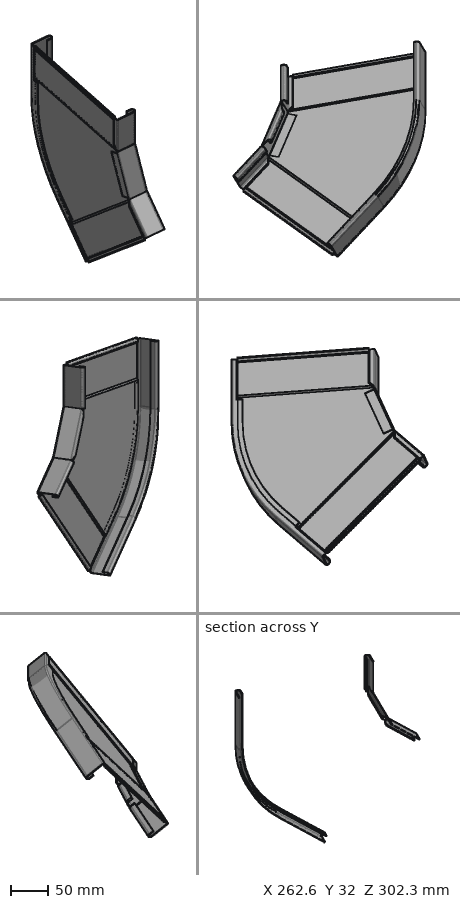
import cadquery as cq
import math


SHEET = 1.5
HEIGHT = 32.0
CHANNEL_WIDTH = 195.8
LIMB_LENGTH = 92.8
BEND_ANGLE = 45
BEND_RADIUS = 200.0
INNER_MIDDLE_LENGTH = 70.5

FLOOR_BEND_RADIUS = 1.8
RIM_RADIUS = 3.5
HOOK_WIDTH = 8.2
HOOK_DEPTH = 10.3
NARROW_FLANGE = 7.3
WIDE_FLANGE = 15.5
WIDE_FLANGE_START = 59.5

LIMB_FLANGE_CUT = 8.0
MIDDLE_FLANGE_INSET = 2.0
HOOK_CUT = 12.7

FLOOR_SIDE_GAP = 1.2
INNER_FLOOR_CLEARANCE = 0.5
JOGGLE_LENGTH = 2.7
TIP_OVERHANG = 2.5
TIP_LIP_RADIUS = 2.7
TIP_LIP_START = 20
TIP_SLOPE_ANGLE = 45
TIP_SLOPE_DEPTH = 1.5

half_angle = math.radians(BEND_ANGLE / 2)
full_angle = math.radians(BEND_ANGLE)
center_x = BEND_RADIUS
center_z = (LIMB_LENGTH + BEND_RADIUS) * math.sin(full_angle)
limb_end_z = center_z + LIMB_LENGTH
tip_z = limb_end_z + TIP_OVERHANG
inner_corner_rise = INNER_MIDDLE_LENGTH / 2 + (CHANNEL_WIDTH - center_x) * math.sin(half_angle)
inner_corner_z = center_z + inner_corner_rise / math.cos(half_angle)
inner_limb_length = limb_end_z - inner_corner_z
floor_edge = NARROW_FLANGE + FLOOR_SIDE_GAP

bend_center = cq.Vector(center_x, 0, center_z)
mirror_normal = cq.Vector(-math.sin(half_angle), 0, math.cos(half_angle))


def mirrored(shape):
    """The same shape on the other limb."""
    return shape.mirror(mirror_normal, bend_center)


def mirrored_point(x, z):
    """The matching point of the other limb."""
    distance = (x - center_x) * mirror_normal.x + (z - center_z) * mirror_normal.z
    return x - 2 * distance * mirror_normal.x, z - 2 * distance * mirror_normal.z


def slab(outline, y_start, thickness):
    """Extrude a closed outline drawn on the XZ plane from y_start towards +Y."""
    return outline.extrude(-thickness).translate((0, y_start, 0))


def arc_point(center, radius, degrees):
    angle = math.radians(degrees)
    return center[0] + radius * math.cos(angle), center[1] + radius * math.sin(angle)


def wall_section(flange_width):
    """Flange, wall and hooked rim, drawn on the XY plane with u along +X."""
    rim_y = HEIGHT - RIM_RADIUS
    hook_end_y = HEIGHT - HOOK_DEPTH
    floor_center = (FLOOR_BEND_RADIUS, FLOOR_BEND_RADIUS)
    wall_rim_center = (RIM_RADIUS, rim_y)
    hook_rim_center = (HOOK_WIDTH - RIM_RADIUS, rim_y)
    inner_floor_radius = FLOOR_BEND_RADIUS - SHEET
    inner_rim_radius = RIM_RADIUS - SHEET
    return (
        cq.Workplane("XY")
        .moveTo(flange_width, 0)
        .lineTo(FLOOR_BEND_RADIUS, 0)
        .threePointArc(arc_point(floor_center, FLOOR_BEND_RADIUS, 225), (0, FLOOR_BEND_RADIUS))
        .lineTo(0, rim_y)
        .threePointArc(arc_point(wall_rim_center, RIM_RADIUS, 135), (RIM_RADIUS, HEIGHT))
        .lineTo(hook_rim_center[0], HEIGHT)
        .threePointArc(arc_point(hook_rim_center, RIM_RADIUS, 45), (HOOK_WIDTH, rim_y))
        .lineTo(HOOK_WIDTH, hook_end_y)
        .lineTo(HOOK_WIDTH - SHEET, hook_end_y)
        .lineTo(HOOK_WIDTH - SHEET, rim_y)
        .threePointArc(arc_point(hook_rim_center, inner_rim_radius, 45), (hook_rim_center[0], HEIGHT - SHEET))
        .lineTo(RIM_RADIUS, HEIGHT - SHEET)
        .threePointArc(arc_point(wall_rim_center, inner_rim_radius, 135), (SHEET, rim_y))
        .lineTo(SHEET, FLOOR_BEND_RADIUS)
        .threePointArc(arc_point(floor_center, inner_floor_radius, 225), (FLOOR_BEND_RADIUS, SHEET))
        .lineTo(flange_width, SHEET)
        .close()
    )


def outer_path(workplane, inset, start_z):
    """Line, arc and line that follow the outer wall at a distance inside its outer face."""
    radius = BEND_RADIUS - inset
    middle = arc_point((center_x, center_z), radius, 180 + BEND_ANGLE / 2)
    return (
        workplane.lineTo(inset, center_z)
        .threePointArc(middle, mirrored_point(inset, center_z))
        .lineTo(*mirrored_point(inset, start_z))
    )


def make_outer_wall():
    limb = wall_section(NARROW_FLANGE).extrude(LIMB_LENGTH).translate((0, 0, center_z))
    bend = wall_section(NARROW_FLANGE).revolve(BEND_ANGLE, (center_x, 0, 0), (center_x, -1, 0))
    bend = bend.translate((0, 0, center_z))
    wide_z = limb_end_z - WIDE_FLANGE_START
    flange_outline = outer_path(cq.Workplane("XZ").moveTo(WIDE_FLANGE, wide_z), WIDE_FLANGE, wide_z)
    back = FLOOR_BEND_RADIUS
    flange_outline = (
        flange_outline.lineTo(*mirrored_point(back, wide_z))
        .lineTo(*mirrored_point(back, center_z))
        .threePointArc(
            arc_point((center_x, center_z), BEND_RADIUS - back, 180 + BEND_ANGLE / 2), (back, center_z)
        )
        .lineTo(back, wide_z)
        .close()
    )
    return limb.union(bend).union(mirrored(limb)).union(slab(flange_outline, 0, SHEET))


def make_inner_limb():
    """One straight limb of the inner wall, with the flange cut at 45 degrees by the corner."""
    limb = wall_section(NARROW_FLANGE).extrude(inner_limb_length)
    cut_start = FLOOR_BEND_RADIUS
    cut = slab(
        cq.Workplane("XZ").polyline(
            [
                (cut_start, 0),
                (NARROW_FLANGE, 0),
                (NARROW_FLANGE, LIMB_FLANGE_CUT),
                (cut_start, LIMB_FLANGE_CUT - NARROW_FLANGE + cut_start),
            ]
        ).close(),
        0,
        SHEET,
    )
    return limb.cut(cut).mirror("YZ").translate((CHANNEL_WIDTH, 0, inner_corner_z))


def make_inner_middle_half():
    """Half of the slanted middle stretch, from the limb's corner to the mirror plane."""
    length = INNER_MIDDLE_LENGTH / 2
    middle = wall_section(WIDE_FLANGE).extrude(-length)
    flange_cut = cq.Workplane("XY").box(WIDE_FLANGE, SHEET, MIDDLE_FLANGE_INSET, centered=False).translate(
        (FLOOR_BEND_RADIUS, 0, -MIDDLE_FLANGE_INSET)
    )
    hook_cut = slab(
        cq.Workplane("XZ").polyline([(SHEET, 0), (HOOK_WIDTH, 0), (HOOK_WIDTH, -HOOK_CUT)]).close(),
        HEIGHT - HOOK_DEPTH,
        HOOK_DEPTH,
    )
    middle = middle.cut(flange_cut).cut(hook_cut).mirror("YZ")
    middle = middle.rotate((0, 0, 0), (0, 1, 0), -BEND_ANGLE / 2)
    return middle.translate((CHANNEL_WIDTH, 0, inner_corner_z))


def make_inner_corner():
    """Wedge that closes the wall where the limb meets the middle stretch."""
    wedge = cq.Workplane("XZ").polyline(
        [
            (0, 0),
            (-SHEET, 0),
            (-SHEET, -SHEET * math.tan(half_angle / 2)),
            (-SHEET * math.cos(half_angle), -SHEET * math.sin(half_angle)),
        ]
    ).close()
    wedge = slab(wedge, FLOOR_BEND_RADIUS, HEIGHT - RIM_RADIUS - FLOOR_BEND_RADIUS)
    return wedge.translate((CHANNEL_WIDTH, 0, inner_corner_z))


def make_inner_wall():
    half = make_inner_limb().union(make_inner_middle_half()).union(make_inner_corner())
    return half.union(mirrored(half))


def make_tongue():
    """End of the floor: stepped out level with the flanges, with a rolled lip at the tip."""
    slope = math.radians(TIP_SLOPE_ANGLE)
    slope_shift = SHEET * math.tan(slope / 2)
    outer_lip_radius = TIP_LIP_RADIUS + SHEET
    lip_center_y = TIP_SLOPE_DEPTH - TIP_LIP_RADIUS * math.cos(math.radians(TIP_LIP_START))
    lip_center = (lip_center_y, tip_z - math.sqrt(outer_lip_radius**2 - lip_center_y**2))
    lip_inner_z = lip_center[1] + math.sqrt(TIP_LIP_RADIUS**2 - lip_center_y**2)
    slope_end = arc_point(lip_center, TIP_LIP_RADIUS, -TIP_LIP_START)
    slope_start_z = slope_end[1] - TIP_SLOPE_DEPTH / math.tan(slope)
    joggle_top_z = inner_corner_z + JOGGLE_LENGTH
    joggle_shift = SHEET * math.tan(math.atan2(SHEET, JOGGLE_LENGTH) / 2)
    section = (
        cq.Workplane("YZ")
        .moveTo(SHEET, inner_corner_z)
        .lineTo(0, joggle_top_z)
        .lineTo(0, slope_start_z)
        .lineTo(*slope_end)
        .threePointArc(arc_point(lip_center, TIP_LIP_RADIUS, 0), (0, lip_inner_z))
        .lineTo(0, tip_z)
        .threePointArc(
            arc_point(lip_center, outer_lip_radius, 0),
            arc_point(lip_center, outer_lip_radius, -TIP_LIP_START),
        )
        .lineTo(SHEET, slope_start_z - slope_shift)
        .lineTo(SHEET, joggle_top_z + joggle_shift)
        .lineTo(2 * SHEET, inner_corner_z + joggle_shift)
        .lineTo(2 * SHEET, inner_corner_z)
        .close()
    )
    right_x = CHANNEL_WIDTH - floor_edge
    corner_x = CHANNEL_WIDTH - SHEET - INNER_FLOOR_CLEARANCE
    cut_rise = LIMB_FLANGE_CUT - (math.sqrt(2) - 1) * FLOOR_SIDE_GAP
    cut_z = inner_corner_z + cut_rise
    outline = cq.Workplane("XZ").polyline(
        [
            (floor_edge, inner_corner_z),
            (corner_x, inner_corner_z),
            (corner_x, max(cut_z - (corner_x - right_x), inner_corner_z + 0.3)),
            (right_x, cut_z),
            (right_x, tip_z),
            (floor_edge, tip_z),
        ]
    ).close()
    return section.extrude(CHANNEL_WIDTH).intersect(slab(outline, 0, HEIGHT))


def make_floor():
    inner_inset = SHEET + INNER_FLOOR_CLEARANCE
    inner_x = CHANNEL_WIDTH - inner_inset
    inner_bend_z = inner_corner_z - inner_inset * math.tan(half_angle / 2)
    outline = (
        outer_path(cq.Workplane("XZ").moveTo(floor_edge, inner_corner_z), floor_edge, inner_corner_z)
        .lineTo(*mirrored_point(inner_x, inner_corner_z))
        .lineTo(*mirrored_point(inner_x, inner_bend_z))
        .lineTo(inner_x, inner_bend_z)
        .lineTo(inner_x, inner_corner_z)
        .close()
    )
    tongue = make_tongue()
    return slab(outline, SHEET, SHEET).union(tongue).union(mirrored(tongue))


outer_wall = make_outer_wall()
inner_wall = make_inner_wall()
floor = make_floor()
result = cq.Compound.makeCompound([outer_wall.val(), inner_wall.val(), floor.val()])